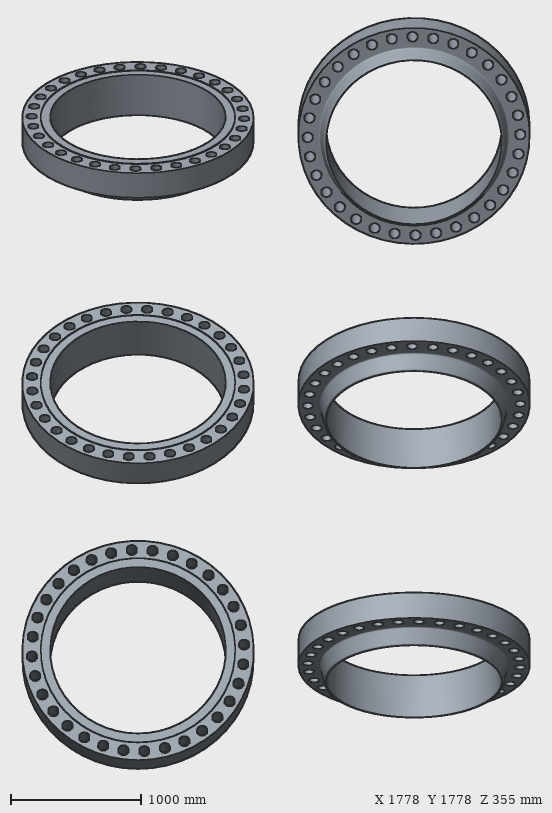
import cadquery as cq

flange_diameter = 1778.0
flange_thickness = 215.0
bore_diameter = 1348.0

face_diameter = 1494.0
face_height = 5.0

total_height = 355.0
hub_top_diameter = 1444.0
hub_bottom_diameter = 1376.0
hub_root_fillet = 12.0
weld_end_fillet = 12.0

bolt_count = 32
bolt_circle_diameter = 1632.0
bolt_hole_diameter = 80.0

flange_top = total_height - face_height
flange_bottom = flange_top - flange_thickness


def ring_and_hub():
    """Revolved half section: raised face, ring, and tapered hub with rounded root and end."""
    bore_radius = bore_diameter / 2
    face_radius = face_diameter / 2
    flange_radius = flange_diameter / 2
    section = (
        cq.Workplane("XZ")
        .moveTo(bore_radius, 0)
        .lineTo(hub_bottom_diameter / 2, 0)
        .lineTo(hub_top_diameter / 2, flange_bottom)
        .lineTo(flange_radius, flange_bottom)
        .lineTo(flange_radius, flange_top)
        .lineTo(face_radius, flange_top)
        .lineTo(face_radius, total_height)
        .lineTo(bore_radius, total_height)
        .close()
    )
    body = section.revolve(360, (0, 0, 0), (0, 1, 0))
    weld_end_edge = body.faces("<Z").edges(cq.selectors.RadiusNthSelector(-1))
    body = weld_end_edge.fillet(weld_end_fillet)
    ring_underside = body.faces("-Z").faces(">Z")
    hub_root_edge = ring_underside.edges(cq.selectors.RadiusNthSelector(0))
    return hub_root_edge.fillet(hub_root_fillet)


def bolt_holes():
    """Through holes spaced evenly on the bolt circle, the first on the +X axis."""
    return (
        cq.Workplane("XY")
        .polarArray(bolt_circle_diameter / 2, 0, 360, bolt_count)
        .circle(bolt_hole_diameter / 2)
        .extrude(total_height)
    )


result = ring_and_hub().cut(bolt_holes())